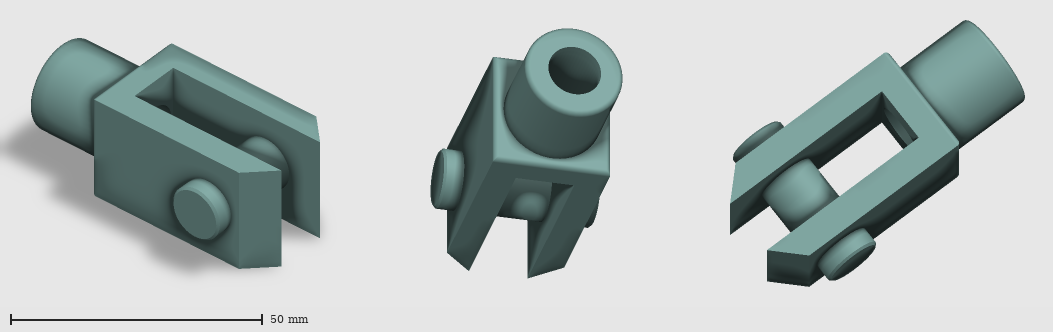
import cadquery as cq

total_length = 62.0
body_side = 24.0
neck_length = 18.0
neck_diameter = 20.0
bore_diameter = 10.8
slot_width = body_side / 2
slot_start = 24.0
edge_radius = 1.0
pin_diameter = 12.0
pin_length = 32.0
pin_x = 48.0
pin_chamfer = 0.5

arm_thickness = (body_side - slot_width) / 2
tip_bevel = arm_thickness


def make_neck():
    neck = cq.Workplane("YZ").circle(neck_diameter / 2).extrude(neck_length)
    return neck.faces("<X").edges().fillet(edge_radius)


def make_body():
    half_side = body_side / 2
    bevel_start = total_length - tip_bevel
    block = (
        cq.Workplane("XY")
        .moveTo(neck_length, -half_side)
        .lineTo(bevel_start, -half_side)
        .lineTo(total_length, -slot_width / 2)
        .lineTo(total_length, slot_width / 2)
        .lineTo(bevel_start, half_side)
        .lineTo(neck_length, half_side)
        .close()
        .extrude(half_side, both=True)
    )
    return block.faces("<X").edges().fillet(edge_radius)


def make_slot():
    return cq.Workplane("XY").box(
        total_length - slot_start, slot_width, body_side, centered=(False, True, True)
    ).translate((slot_start, 0, 0))


def make_bore():
    return cq.Workplane("YZ").circle(bore_diameter / 2).extrude(slot_start)


def make_pin():
    pin = (
        cq.Workplane("XZ")
        .center(pin_x, 0)
        .circle(pin_diameter / 2)
        .extrude(pin_length / 2, both=True)
    )
    return pin.faces("<Y or >Y").edges().chamfer(pin_chamfer)


clevis = make_body().union(make_neck()).cut(make_slot()).cut(make_bore())
result = clevis.union(make_pin())